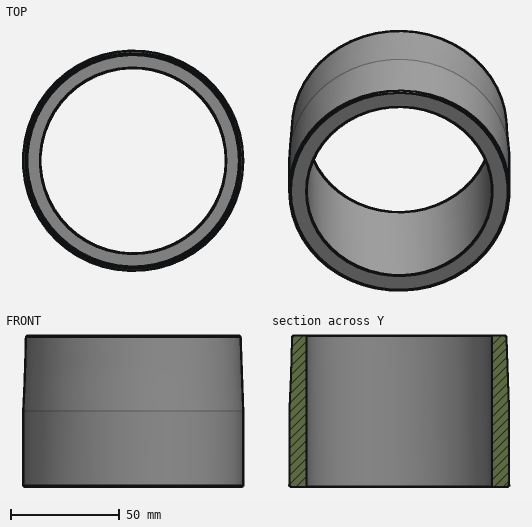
import cadquery as cq

outer_diameter = 101.6
bore_diameter = 85.3
height = 69.9

straight_height = 35.2
top_diameter = 99.2

outer_chamfer = 0.8
bore_chamfer = 0.3

outer_radius = outer_diameter / 2
bore_radius = bore_diameter / 2
top_radius = top_diameter / 2

wall_section = (
    cq.Workplane("XZ")
    .moveTo(bore_radius, bore_chamfer)
    .lineTo(bore_radius + bore_chamfer, 0)
    .lineTo(outer_radius - outer_chamfer, 0)
    .lineTo(outer_radius, outer_chamfer)
    .lineTo(outer_radius, straight_height)
    .lineTo(top_radius, height - outer_chamfer)
    .lineTo(top_radius - outer_chamfer, height)
    .lineTo(bore_radius + bore_chamfer, height)
    .lineTo(bore_radius, height - bore_chamfer)
    .close()
)

result = wall_section.revolve(360, (0, 0, 0), (0, 1, 0))